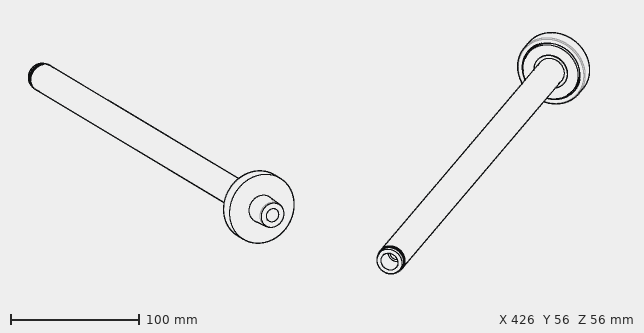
import cadquery as cq

total_length = 426.0
seal_start = 3.5
seal_end = 4.5
insert_end = 17.0
plate_start = 393.0
flange_start = 394.5
flange_end = 406.5
plate_end = 396.5

tube_diameter = 22.0
socket_diameter = 18.0
bore_diameter = 10.5
insert_diameter = 21.0
insert_bore_diameter = 14.0
tail_root_diameter = tube_diameter
tail_tip_diameter = 20.5
flange_diameter = 56.0
flange_recess_diameter = 47.5
plate_diameter = 45.5
plate_mouth_diameter = 27.5

tube_chamfer = 1.0
tail_chamfer_length = 1.3
tail_chamfer_height = 0.5
flange_edge_round = 1.0
plate_mouth_depth = 1.0


def revolve_profile(points):
    """Turn a closed outline of (x, diameter) points about the X axis."""
    outline = [(x, diameter / 2) for x, diameter in points]
    return cq.Workplane("XY").polyline(outline).close().revolve(360, (0, 0, 0), (1, 0, 0))


def ring(start, end, outer_diameter, inner_diameter):
    """Plain ring between two X positions."""
    return revolve_profile([
        (start, inner_diameter),
        (start, outer_diameter),
        (end, outer_diameter),
        (end, inner_diameter),
    ])


def make_tube():
    """Long arm, chamfered at the open end and bored as a socket at both ends."""
    return revolve_profile([
        (seal_end, socket_diameter),
        (seal_end, tube_diameter - 2 * tube_chamfer),
        (seal_end + tube_chamfer, tube_diameter),
        (flange_end, tube_diameter),
        (flange_end, socket_diameter),
        (flange_start, socket_diameter),
        (flange_start, bore_diameter),
        (insert_end, bore_diameter),
        (insert_end, socket_diameter),
    ])


def make_insert():
    """Outlet fitting: a rim outside the tube and a sleeve inside it."""
    return revolve_profile([
        (0, insert_bore_diameter),
        (0, insert_diameter),
        (seal_start, insert_diameter),
        (seal_start, socket_diameter),
        (insert_end, socket_diameter),
        (insert_end, insert_bore_diameter),
    ])


def make_seal():
    """Washer held between the insert rim and the tube end."""
    return ring(seal_start, seal_end, tube_diameter, socket_diameter)


def make_flange():
    """Wall flange with a front recess for the plate and a rounded front rim."""
    flange = ring(flange_start, flange_end, flange_diameter, tube_diameter)
    flange = flange.faces("<X").edges(cq.selectors.RadiusNthSelector(-1)).fillet(flange_edge_round)
    recess = ring(flange_start, plate_end, flange_recess_diameter, tube_diameter)
    return flange.cut(recess)


def make_plate():
    """Front plate, standing slightly proud of the flange, with a counterbored hole."""
    return revolve_profile([
        (plate_start, plate_mouth_diameter),
        (plate_start, plate_diameter),
        (plate_end, plate_diameter),
        (plate_end, tube_diameter),
        (plate_start + plate_mouth_depth, tube_diameter),
        (plate_start + plate_mouth_depth, plate_mouth_diameter),
    ])


def make_tail():
    """Tapered mounting tail with a spigot that enters the tube."""
    return revolve_profile([
        (flange_start, bore_diameter),
        (flange_start, socket_diameter),
        (flange_end, socket_diameter),
        (flange_end, tail_root_diameter),
        (total_length - tail_chamfer_length, tail_tip_diameter),
        (total_length, tail_tip_diameter - 2 * tail_chamfer_height),
        (total_length, bore_diameter),
    ])


tube = make_tube()
insert = make_insert()
seal = make_seal()
flange = make_flange()
plate = make_plate()
tail = make_tail()

result = cq.Compound.makeCompound([
    tube.val(),
    insert.val(),
    seal.val(),
    flange.val(),
    plate.val(),
    tail.val(),
])